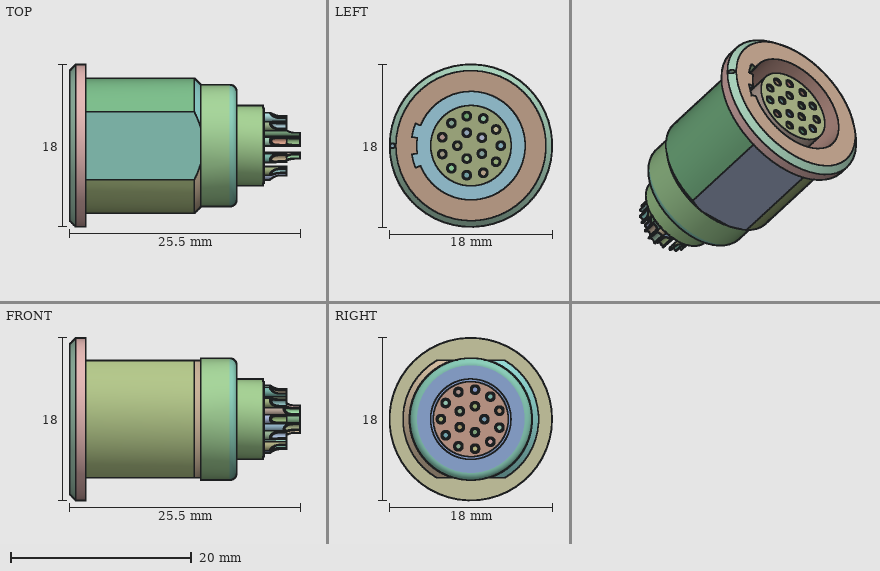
import cadquery as cq
import math


flange_radius = 9.0
flange_thickness = 1.8
flange_chamfer = 0.7
body_radius = 7.5
body_end = 14.5
body_chamfer = 0.7
width_across_flats = 13.0
collar_radius = 6.75
collar_end = 18.5
collar_fillet = 0.8

cavity_radius = 6.0
cavity_depth = 10.0
keyway_radius = 6.6
keyway_inner_angle = 8.3
keyway_outer_angle = 21.8

mark_radius = 0.27
mark_offset = 8.67
mark_depth = 0.9

insert_radius = 4.45
insert_start = 0.5
insert_end = 21.4
insert_tip_radius = 4.15
insert_tip_length = 0.1

contact_rings = [
    (11, 3.3, 0.0, 24.0, 0.0),
    (5, 1.5, 180.0, 25.5, 0.05),
]
pin_radius = 0.5
socket_radius = 0.37
socket_mouth_radius = 0.5
socket_depth = 4.0
cup_radius = 0.34
cup_depth = 2.0
cup_opening_length = 1.87
cup_arc_radius = 1.7

clearance = 1.0


def cylinder(radius, start, end, y=0.0):
    """Cylinder parallel to X, from X = start to X = end."""
    return cq.Workplane("YZ", origin=(start, y, 0)).circle(radius).extrude(end - start)


def make_flange():
    return cylinder(flange_radius, 0, flange_thickness).faces("<X").chamfer(flange_chamfer)


def make_body():
    """Chamfered barrel with a flat on top and bottom."""
    barrel = cylinder(body_radius, 0, body_end).faces(">X").chamfer(body_chamfer)
    slab = cq.Workplane("XY").box(2 * body_end, 2 * flange_radius, width_across_flats)
    return barrel.intersect(slab)


def make_collar():
    return cylinder(collar_radius, body_end, collar_end).faces(">X").fillet(collar_fillet)


def make_keyway(start_angle, end_angle):
    """Sector around the axis; angles in degrees from +Y towards +Z."""
    reach = 2 * keyway_radius
    corners = [
        (reach * math.cos(math.radians(angle)), reach * math.sin(math.radians(angle)))
        for angle in (start_angle, end_angle)
    ]
    wedge = cq.Workplane("YZ").polyline([(0, 0)] + corners).close().extrude(cavity_depth)
    return wedge.intersect(cylinder(keyway_radius, 0, cavity_depth))


def make_mark():
    """Small round-bottomed hole."""
    straight_end = mark_depth - mark_radius
    ball = cq.Workplane("XY").sphere(mark_radius).translate((straight_end, mark_offset, 0))
    return cylinder(mark_radius, 0, straight_end, y=mark_offset).union(ball)


def make_shell():
    shell = make_flange().union(make_body()).union(make_collar())
    shell = shell.cut(cylinder(cavity_radius, 0, cavity_depth))
    shell = shell.cut(make_keyway(keyway_inner_angle, keyway_outer_angle))
    shell = shell.cut(make_keyway(-keyway_outer_angle, -keyway_inner_angle))
    return shell.cut(make_mark())


def make_insert():
    insert = cylinder(insert_radius, insert_start, insert_end)
    tip = cylinder(insert_tip_radius, insert_end, insert_end + insert_tip_length)
    return insert.union(tip)


def make_socket_hole(pitch_radius):
    """Front hole with a 45 degree countersunk mouth."""
    mouth_depth = socket_mouth_radius - socket_radius
    hole_end = insert_start + socket_depth
    return (
        cq.Workplane("XY")
        .moveTo(insert_start, 0)
        .lineTo(insert_start, socket_mouth_radius)
        .lineTo(insert_start + mouth_depth, socket_radius)
        .lineTo(hole_end, socket_radius)
        .lineTo(hole_end, 0)
        .close()
        .revolve(360, (0, 0), (1, 0))
        .translate((0, -pitch_radius, 0))
    )


def make_solder_pin(pitch_radius, rear_end, cut_past_axis):
    """Rear pin on the -Y side, its bored end cut open on the outer side."""
    pin = cylinder(pin_radius, insert_end, rear_end, y=-pitch_radius)
    bore = cylinder(cup_radius, rear_end - cup_depth, rear_end, y=-pitch_radius)
    cut_y = -pitch_radius + cut_past_axis
    outer_y = -pitch_radius - pin_radius
    rise = cut_y - outer_y
    run = math.sqrt(cup_arc_radius**2 - (cup_arc_radius - rise) ** 2)
    arc_start = rear_end - cup_opening_length
    arc_end = arc_start + run
    half_angle = math.asin(run / cup_arc_radius) / 2
    arc_middle = (
        arc_end - cup_arc_radius * math.sin(half_angle),
        cut_y - cup_arc_radius * (1 - math.cos(half_angle)),
    )
    opening = (
        cq.Workplane("XY")
        .moveTo(arc_start, outer_y)
        .threePointArc(arc_middle, (arc_end, cut_y))
        .lineTo(rear_end + clearance, cut_y)
        .lineTo(rear_end + clearance, outer_y)
        .close()
        .extrude(pin_radius + clearance, both=True)
    )
    return pin.cut(bore).cut(opening)


def add_contacts(part):
    for count, pitch_radius, first_angle, rear_end, cut_past_axis in contact_rings:
        hole = make_socket_hole(pitch_radius)
        pin = make_solder_pin(pitch_radius, rear_end, cut_past_axis)
        for index in range(count):
            angle = first_angle + index * 360 / count
            part = part.cut(hole.rotate((0, 0, 0), (1, 0, 0), angle))
            part = part.union(pin.rotate((0, 0, 0), (1, 0, 0), angle))
    return part


result = add_contacts(make_shell().union(make_insert()))